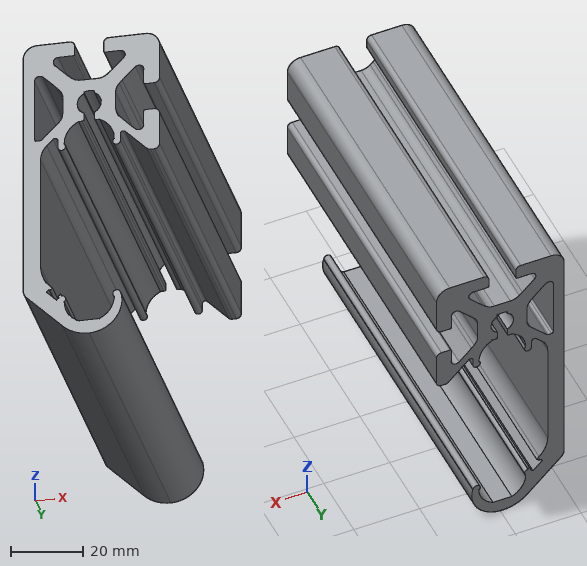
import cadquery as cq
import math


length = 100.0
head_reach = 20.0
wall_outer_x = -18.8
bottom_z = -72.7
outer_corner_radius = 4.0

slot_half_width = 4.1
lip_thickness = 4.5
lip_inner_face = head_reach - lip_thickness
core_half_width = 7.5
web_offset = 3.5
slot_flat_half = core_half_width - web_offset
slot_tip_half = lip_inner_face - web_offset
flank_knee_half = 8.0
flank_knee_bow = 0.3
flank_radius = 70.0
trimmed_half = 10.2
lip_outer_radius = 1.5
lip_inner_radius = 0.4
slot_tip_radius = 1.4
slot_floor_radius = 4.0
trimmed_corner_radius = 0.6

bore_radius = 3.4
neck_half_width = 1.5
neck_radius = 0.5
relief_radius = 3.9

channel_radius = 7.1
channel_flat = 6.5
head_channel_z = -12.0
hook_channel_z = -62.0
channel_mid_z = (head_channel_z + hook_channel_z) / 2

tip_radius = 1.1
tip_x = 7.8
head_tip_z = -12.9
hook_tip_z = 2 * channel_mid_z - head_tip_z
prong_outer_x = tip_x + tip_radius
prong_root_radius = 0.8

leg_bottom_z = -16.8
leg_radius = 1.5

wall_inner_x = -13.8
wall_top_radius = 6.0
wall_bottom_radius = 9.0
wall_heel_radius = 3.0

hook_left_radius = hook_channel_z - bottom_z
hook_right_radius = 9.3
hook_right_z = bottom_z + hook_right_radius
seat_sum = -67.6

groove_depth = 2.0
groove_half_width = 2.0
groove_mouth_half = 1.6
groove_lip_height = 1.0
groove_center_x = -9.3


def rounded_outline(corners):
    """Extrude a closed outline of (x, z, radius) corners along the length."""
    arcs = []
    for i, (x, z, radius) in enumerate(corners):
        before = corners[i - 1]
        after = corners[(i + 1) % len(corners)]
        angle_in = math.atan2(before[1] - z, before[0] - x)
        angle_out = math.atan2(after[1] - z, after[0] - x)
        half = math.acos(max(-1.0, min(1.0, math.cos(angle_in - angle_out)))) / 2
        setback = radius / math.tan(half)
        sagitta = radius / math.sin(half) - radius
        middle = math.atan2(
            math.sin(angle_in) + math.sin(angle_out),
            math.cos(angle_in) + math.cos(angle_out),
        )
        start = (x + setback * math.cos(angle_in), z + setback * math.sin(angle_in))
        mid = (x + sagitta * math.cos(middle), z + sagitta * math.sin(middle))
        end = (x + setback * math.cos(angle_out), z + setback * math.sin(angle_out))
        arcs.append((start, mid, end, radius))

    outline = cq.Workplane("XZ").moveTo(*arcs[0][2])
    for start, mid, end, radius in arcs[1:] + arcs[:1]:
        outline = outline.lineTo(*start)
        if radius > 0:
            outline = outline.threePointArc(mid, end)
    return outline.close().extrude(length)


def cylinder(x, z, radius):
    return cq.Workplane("XZ").center(x, z).circle(radius).extrude(length)


def block(x_min, x_max, z_min, z_max):
    return (
        cq.Workplane("XZ")
        .moveTo(x_min, z_min)
        .lineTo(x_max, z_min)
        .lineTo(x_max, z_max)
        .lineTo(x_min, z_max)
        .close()
        .extrude(length)
    )


def flank():
    """Corners of a slot flank as (across, depth, radius), tip to floor."""
    return [
        (slot_tip_half, lip_inner_face, slot_tip_radius),
        (flank_knee_half, flank_knee_half + web_offset - flank_knee_bow, flank_radius),
        (slot_flat_half, core_half_width, slot_floor_radius),
    ]


def half_slot():
    """Corners of half a T-slot as (across, depth, radius), mouth to floor."""
    return [
        (slot_half_width, head_reach, lip_outer_radius),
        (slot_half_width, lip_inner_face, lip_inner_radius),
    ] + flank()


def trimmed_end():
    """Corners of a flank that stops short on a flat, core to wall."""
    return [
        (slot_flat_half, core_half_width, slot_floor_radius),
        (trimmed_half, trimmed_half + web_offset, trimmed_corner_radius),
        (trimmed_half, lip_inner_face, trimmed_corner_radius),
    ]


def head_and_wall():
    """Head with both T-slots, prongs, side wall and the slope down to the hook."""
    top_slot = [(-a, d, r) for a, d, r in half_slot()]
    top_slot += [(a, d, r) for a, d, r in reversed(half_slot())]
    right_slot = [(d, a, r) for a, d, r in half_slot()]
    right_slot += [(d, -a, r) for a, d, r in reversed(half_slot())]
    leg = [
        (head_reach, leg_bottom_z, leg_radius),
        (-leg_bottom_z, leg_bottom_z, leg_radius),
    ]
    prongs = [
        (prong_outer_x, -prong_outer_x, prong_root_radius),
        (prong_outer_x, head_tip_z, 0),
        (-prong_outer_x, head_tip_z, 0),
        (-prong_outer_x, -prong_outer_x, prong_root_radius),
    ]
    slope_sum = hook_channel_z - hook_left_radius * math.sqrt(2)
    tangent_x = -hook_left_radius / math.sqrt(2)
    wall = [
        (wall_inner_x, wall_inner_x, wall_top_radius),
        (wall_inner_x, seat_sum - wall_inner_x, wall_bottom_radius),
        (-tip_x, seat_sum + tip_x, 0),
        (tangent_x, slope_sum - tangent_x, 0),
        (wall_outer_x, slope_sum - wall_outer_x, wall_heel_radius),
        (wall_outer_x, head_reach, outer_corner_radius),
    ]
    top_right = [(head_reach, head_reach, outer_corner_radius)]
    return rounded_outline(top_slot + top_right + right_slot + leg + prongs + wall)


def hook():
    """Hook blank: a wide left arc and a tighter right arc meeting at the bottom."""
    diagonal = math.sqrt(0.5)
    left = (-hook_left_radius * diagonal, hook_channel_z - hook_left_radius * diagonal)
    left_mid = (
        -hook_left_radius * math.sin(math.pi / 8),
        hook_channel_z - hook_left_radius * math.cos(math.pi / 8),
    )
    right_mid = (hook_right_radius * diagonal, hook_right_z - hook_right_radius * diagonal)
    right_end_x = math.sqrt(hook_right_radius**2 - (hook_tip_z - hook_right_z) ** 2)
    return (
        cq.Workplane("XZ")
        .moveTo(*left)
        .threePointArc(left_mid, (0, bottom_z))
        .threePointArc(right_mid, (right_end_x, hook_tip_z))
        .lineTo(-tip_x, hook_tip_z)
        .close()
        .extrude(length)
    )


def channel(center_z, side):
    """Round channel with a flat; side is +1 for a flat on top, -1 below."""
    flat_z = center_z + side * channel_flat
    far_z = center_z - side * channel_radius
    limits = block(-channel_radius, channel_radius, min(flat_z, far_z), max(flat_z, far_z))
    return cylinder(0, center_z, channel_radius).intersect(limits)


def neck():
    """Slit from the bore into the head channel, with rounded lips."""
    flat_z = head_channel_z + channel_flat
    lip_x = 2 * neck_half_width
    right = [
        (neck_half_width, 0, 0),
        (neck_half_width, flat_z, neck_radius),
        (lip_x, flat_z, 0),
        (lip_x, head_channel_z, 0),
    ]
    return rounded_outline(right + [(-x, z, r) for x, z, r in reversed(right)])


def bore():
    """Round bore with an arched notch along its top."""
    notch = block(-neck_half_width, neck_half_width, 0, relief_radius)
    return cylinder(0, 0, bore_radius).union(cylinder(0, 0, relief_radius).intersect(notch))


def pocket():
    """Closed pocket between the core and the side wall."""
    upper = [(-d, a, r) for a, d, r in flank()]
    return rounded_outline(upper + [(-d, -a, r) for a, d, r in trimmed_end()])


def snap_groove():
    """Groove square to the sloped seat, narrower at its mouth than its floor."""
    lip_bottom = groove_lip_height - groove_depth
    right = [
        (groove_mouth_half, groove_depth),
        (groove_mouth_half, lip_bottom),
        (groove_half_width, lip_bottom),
        (groove_half_width, -groove_depth),
    ]
    outline = right + [(-u, v) for u, v in reversed(right)]
    return (
        cq.Workplane("XZ")
        .polyline(outline)
        .close()
        .extrude(length)
        .rotate((0, 0, 0), (0, 1, 0), 45)
        .translate((groove_center_x, 0, seat_sum - groove_center_x))
    )


result = head_and_wall().union(hook())
result = result.cut(channel(head_channel_z, 1)).cut(channel(hook_channel_z, -1))
for side in (-1, 1):
    result = result.union(cylinder(side * tip_x, head_tip_z, tip_radius))
    result = result.union(cylinder(side * tip_x, hook_tip_z, tip_radius))
result = result.cut(bore()).cut(neck())
result = result.cut(pocket()).cut(snap_groove())